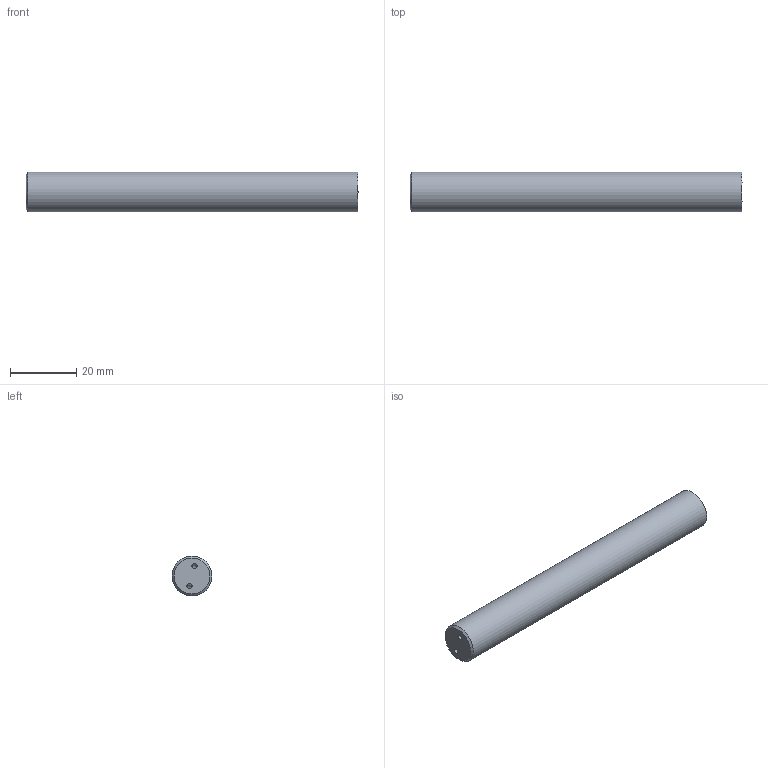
import cadquery as cq
import math

length = 100.0
diameter = 12.0
end_chamfer = 0.6

channel_count = 2
channel_diameter = 1.5
channel_circle_radius = 3.1
channel_start_angle = 14.0
helix_angle = 25.0

helix_pitch = math.pi * diameter / math.tan(math.radians(helix_angle))
twist = 360.0 * length / helix_pitch
channel_slope = math.atan(2 * math.pi * channel_circle_radius / helix_pitch)
rod_start_x = -length / 2


def make_rod():
    """Plain round rod along X with a chamfer on its -X end."""
    rod = cq.Workplane("YZ", origin=(rod_start_x, 0, 0)).circle(diameter / 2).extrude(length)
    return rod.faces("<X").edges().chamfer(end_chamfer)


def make_channel(index):
    """Cutter for one channel, twisting about the X axis.

    The slanted channel meets the flat end in an ellipse, wider along the turning direction.
    """
    channel_radius = channel_diameter / 2
    half_width = channel_radius / math.cos(channel_slope)
    channel = (
        cq.Workplane("YZ", origin=(rod_start_x, 0, 0))
        .center(0, channel_circle_radius)
        .ellipse(half_width, channel_radius)
        .center(0, -channel_circle_radius)
        .twistExtrude(length, twist)
    )
    start_angle = channel_start_angle + index * 360.0 / channel_count
    return channel.rotate((0, 0, 0), (1, 0, 0), start_angle)


result = make_rod()
for channel_index in range(channel_count):
    result = result.cut(make_channel(channel_index))